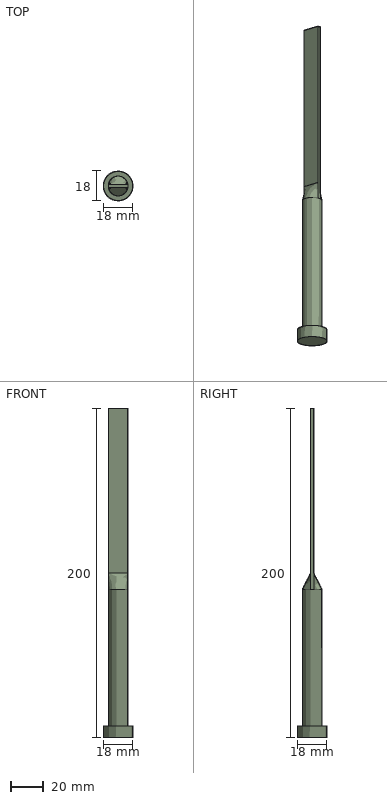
import cadquery as cq
import math

total_length = 200.0
head_diameter = 18.0
head_height = 7.2

shank_diameter = 12.0
blade_thickness = 2.0
blade_length = 100.0
neck_length = 10.0

shank_radius = shank_diameter / 2
half_thickness = blade_thickness / 2
half_width = math.sqrt(shank_radius**2 - half_thickness**2)
blade_base = total_length - blade_length
shank_top = blade_base - neck_length


def make_cylinder(diameter, bottom, top):
    return cq.Workplane("XY").workplane(offset=bottom).circle(diameter / 2).extrude(top - bottom)


def make_neck():
    """Ruled transition from the round shank to the rectangular blade."""
    round_section = (
        cq.Workplane("XY")
        .workplane(offset=shank_top)
        .moveTo(-half_width, -half_thickness)
        .threePointArc((0, -shank_radius), (half_width, -half_thickness))
        .lineTo(half_width, half_thickness)
        .threePointArc((0, shank_radius), (-half_width, half_thickness))
        .close()
    )
    blade_section = (
        cq.Workplane("XY")
        .workplane(offset=blade_base)
        .moveTo(-half_width, -half_thickness)
        .lineTo(half_width, -half_thickness)
        .lineTo(half_width, half_thickness)
        .lineTo(-half_width, half_thickness)
        .close()
    )
    sections = [round_section.val(), blade_section.val()]
    return cq.Workplane(obj=cq.Solid.makeLoft(sections, True))


def make_blade():
    return (
        cq.Workplane("XY")
        .workplane(offset=blade_base)
        .rect(2 * half_width, blade_thickness)
        .extrude(blade_length)
    )


head = make_cylinder(head_diameter, 0, head_height)
shank = make_cylinder(shank_diameter, head_height, shank_top)

result = head.union(shank).union(make_neck()).union(make_blade())